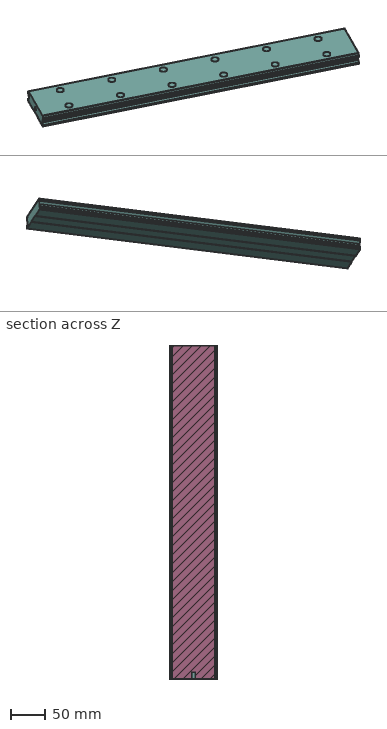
import cadquery as cq

length = 490.0
width = 69.0
height = 19.0

lip_half_width = width / 2
neck_half_width = 31.5
neck_foot_half_width = 32.0
shoulder_half_width = 33.0
top_half_width = 32.0

bottom_chamfer = 1.0
lower_lip_top = 3.5
neck_foot_height = 6.0
neck_bottom = 7.5
neck_top = 10.5
upper_lip_bottom = 13.5
upper_lip_top = 16.0
shoulder_height = 18.5

relief_width = 20.5
relief_depth = 1.0

recess_diameter = 11.0
recess_depth = 0.5
recess_count = 6
recess_end_margin = 45.0
recess_pitch = (length - 2 * recess_end_margin) / (recess_count - 1)
row_spacing = 40.0

end_hole_diameter = 5.0
end_hole_depth = 10.0
end_hole_height = 10.0


def rail_body():
    """Extrude the symmetric rail section along Y, with its underside on Z = 0."""
    right_side = [
        (relief_width / 2, relief_depth),
        (relief_width / 2, 0),
        (lip_half_width - bottom_chamfer, 0),
        (lip_half_width, bottom_chamfer),
        (lip_half_width, lower_lip_top),
        (neck_foot_half_width, neck_foot_height),
        (neck_half_width, neck_bottom),
        (neck_half_width, neck_top),
        (lip_half_width, upper_lip_bottom),
        (lip_half_width, upper_lip_top),
        (shoulder_half_width, shoulder_height),
        (top_half_width, height),
    ]
    left_side = [(-x, z) for x, z in reversed(right_side)]
    section = cq.Workplane("XZ").polyline(right_side + left_side).close()
    return section.extrude(length / 2, both=True)


def top_recesses():
    """Two rows of shallow round recesses, centred on the top face."""
    return (
        cq.Workplane("XY", origin=(0, 0, height - recess_depth))
        .rarray(row_spacing, recess_pitch, 2, recess_count)
        .circle(recess_diameter / 2)
        .extrude(recess_depth)
    )


def end_hole():
    """Small blind hole running inward from the front end face."""
    return (
        cq.Workplane("XZ", origin=(0, -length / 2, end_hole_height))
        .circle(end_hole_diameter / 2)
        .extrude(-end_hole_depth)
    )


result = rail_body().cut(top_recesses()).cut(end_hole())